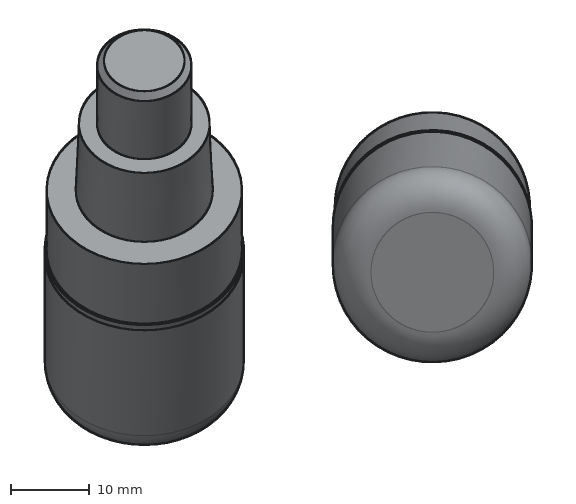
import cadquery as cq

total_height = 63.35
grip_height = 25.45
rim_top = 26.5
shoulder_top = 38.15
collar_top = 51.1

grip_diameter = 25.4
shoulder_diameter = 24.9
collar_base_diameter = 17.5
collar_top_diameter = 16.65
stud_diameter = 12.05

bottom_radius = 4.9
stud_chamfer = 0.9


def cylinder(diameter, bottom, top):
    """Vertical cylinder between two heights."""
    return cq.Workplane("XY").workplane(offset=bottom).circle(diameter / 2).extrude(top - bottom)


def make_grip():
    """Lower cylindrical body with a rounded bottom edge."""
    return cylinder(grip_diameter, 0, grip_height).faces("<Z").edges().fillet(bottom_radius)


def make_collar():
    """Collar that narrows slightly from the shoulder towards the stud."""
    return cq.Workplane(
        cq.Solid.makeCone(
            collar_base_diameter / 2,
            collar_top_diameter / 2,
            collar_top - shoulder_top,
            cq.Vector(0, 0, shoulder_top),
        )
    )


def make_plunger():
    """Upper body: rim, shoulder, tapered collar and chamfered stud."""
    rim = cylinder(grip_diameter, grip_height, rim_top)
    shoulder = cylinder(shoulder_diameter, rim_top, shoulder_top)
    stud = cylinder(stud_diameter, collar_top, total_height).faces(">Z").chamfer(stud_chamfer)
    return rim.union(shoulder).union(make_collar()).union(stud)


grip = make_grip()
plunger = make_plunger()

result = cq.Compound.makeCompound([grip.val(), plunger.val()])